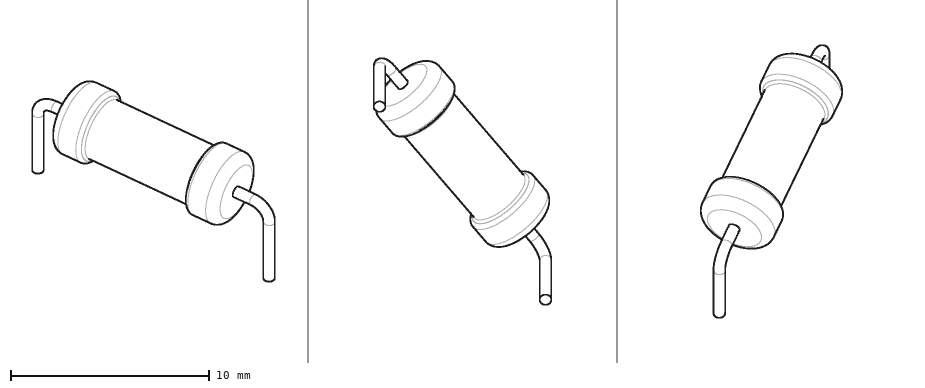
import cadquery as cq
import math

body_length = 10.0
cap_diameter = 4.0
waist_diameter = 3.3
cap_length = 1.81
end_fillet = 0.53
shoulder_fillet = 0.2
neck_fillet = 0.13

overall_length = 14.6
wire_diameter = 0.6
bend_radius = 1.0
lead_drop = 5.0

tolerance = 0.001

half_body = body_length / 2
lead_x = (overall_length - wire_diameter) / 2


def rims_at(solid, position, radius):
    """Circular edges of the given radius at +position and -position along X."""

    def is_rim(edge):
        on_station = abs(abs(edge.Center().x) - position) < tolerance
        return on_station and abs(edge.radius() - radius) < tolerance

    return solid.newObject([edge for edge in solid.edges("%CIRCLE").vals() if is_rim(edge)])


def make_body():
    """Revolve the stepped barrel about the X axis, then round its rims and neck corners."""
    cap_radius = cap_diameter / 2
    waist_radius = waist_diameter / 2
    half_waist = half_body - cap_length
    barrel = (
        cq.Workplane("XZ")
        .moveTo(-half_body, 0)
        .lineTo(-half_body, cap_radius)
        .lineTo(-half_waist, cap_radius)
        .lineTo(-half_waist, waist_radius)
        .lineTo(half_waist, waist_radius)
        .lineTo(half_waist, cap_radius)
        .lineTo(half_body, cap_radius)
        .lineTo(half_body, 0)
        .close()
        .revolve(360, (0, 0, 0), (1, 0, 0))
    )
    barrel = rims_at(barrel, half_body, cap_radius).fillet(end_fillet)
    barrel = rims_at(barrel, half_waist, cap_radius).fillet(shoulder_fillet)
    return rims_at(barrel, half_waist, waist_radius).fillet(neck_fillet)


def make_lead(side):
    """Sweep the round wire from a body end (side = -1 or +1), through the bend, to its tip."""
    bend_x = lead_x - bend_radius
    bend_middle = (
        side * (bend_x + bend_radius * math.sin(math.pi / 4)),
        -bend_radius * (1 - math.cos(math.pi / 4)),
    )
    path = (
        cq.Workplane("XZ")
        .moveTo(side * half_body, 0)
        .lineTo(side * bend_x, 0)
        .threePointArc(bend_middle, (side * lead_x, -bend_radius))
        .lineTo(side * lead_x, -lead_drop)
    )
    section = cq.Workplane("YZ", origin=(side * half_body, 0, 0)).circle(wire_diameter / 2)
    return section.sweep(path)


body = make_body()
leads = [make_lead(side) for side in (-1, 1)]

result = cq.Compound.makeCompound([body.val(), *[lead.val() for lead in leads]])